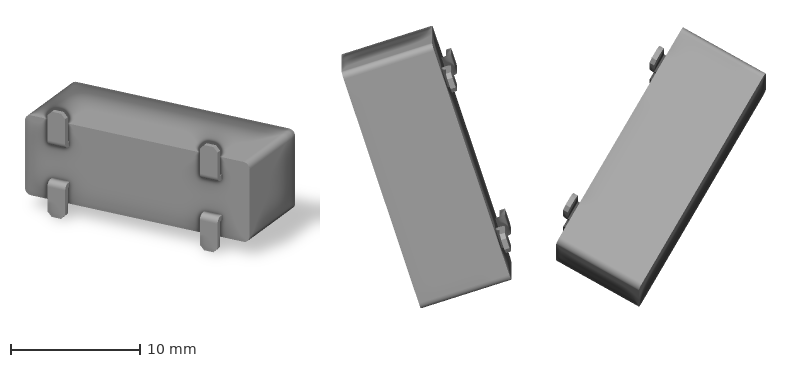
import cadquery as cq
import math

overall_depth = 8.12
overall_height = 8.9

housing_length = 19.81
housing_depth = 7.37
housing_height = 6.75
housing_corner_radius = 0.52

pin_width = 1.56
pin_thickness = 0.42
pin_end_margin = 2.4
pin_row_gap = 3.01
pin_tip_chamfer = 0.38
bend_inner_radius = 0.04

bend_outer_radius = bend_inner_radius + pin_thickness
pin_reach = overall_depth - housing_depth
pin_x = housing_length / 2 - pin_end_margin - pin_width / 2
pin_heel_z = pin_row_gap / 2
pin_tip_z = overall_height / 2


def make_housing():
    """Solid block with its four long edges along Y rounded."""
    return (
        cq.Workplane("XZ")
        .rect(housing_length, housing_height)
        .extrude(-housing_depth)
        .edges("|Y")
        .fillet(housing_corner_radius)
    )


def make_upper_pin():
    """L-shaped pin centred on X = 0: a stub out of the housing, a bend and a leg up to a chamfered tip."""
    front_y = -pin_reach
    back_y = front_y + pin_thickness
    stub_top_z = pin_heel_z + pin_thickness
    bend_y = front_y + bend_outer_radius
    bend_z = pin_heel_z + bend_outer_radius
    outer_mid = bend_outer_radius * math.sqrt(0.5)
    inner_mid = bend_inner_radius * math.sqrt(0.5)
    pin = (
        cq.Workplane("YZ")
        .moveTo(0, pin_heel_z)
        .lineTo(bend_y, pin_heel_z)
        .threePointArc((bend_y - outer_mid, bend_z - outer_mid), (front_y, bend_z))
        .lineTo(front_y, pin_tip_z)
        .lineTo(back_y, pin_tip_z)
        .lineTo(back_y, bend_z)
        .threePointArc((bend_y - inner_mid, bend_z - inner_mid), (bend_y, stub_top_z))
        .lineTo(0, stub_top_z)
        .close()
        .extrude(pin_width / 2, both=True)
    )
    return pin.faces(">Z").edges("|Y").chamfer(pin_tip_chamfer)


def make_pins():
    """Four pins: an upper and a mirrored lower one near each end of the housing."""
    upper_pin = make_upper_pin()
    lower_pin = upper_pin.mirror("XY")
    pins = []
    for x in (-pin_x, pin_x):
        for pin in (upper_pin, lower_pin):
            pins.append(pin.translate((x, 0, 0)).val())
    return pins


housing = make_housing()
pins = make_pins()

result = cq.Compound.makeCompound([housing.val(), *pins])